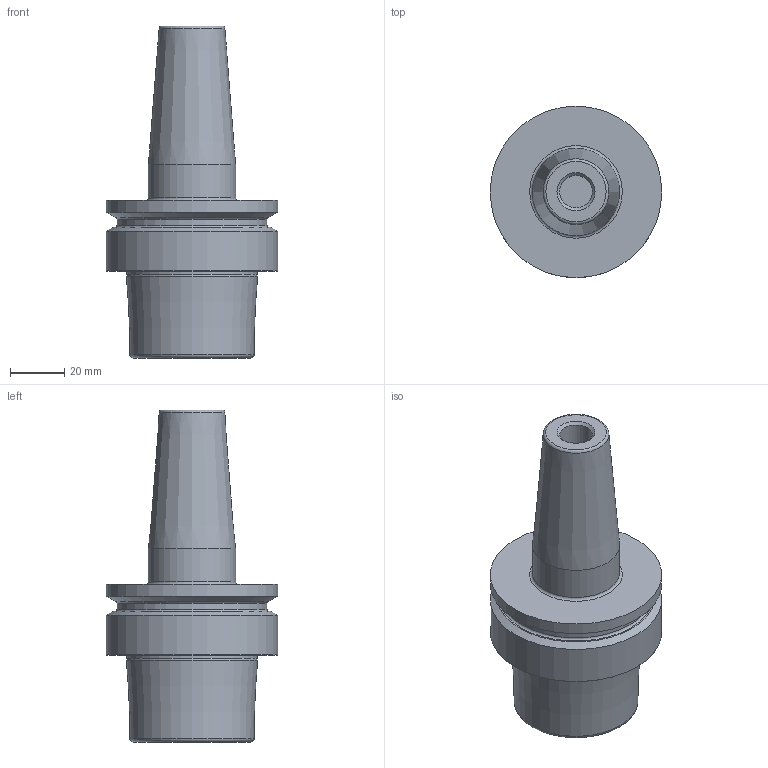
import cadquery as cq
import math


shank_length = 31.9
shank_top_radius = 24.1
shank_end_radius = 22.8
shank_end_rounding = 1.3
relief_radius = 23.9
relief_height = 1.2
relief_taper_height = 0.7

flange_radius = 31.5
flange_height = 26.0
flange_chamfer = 0.15
groove_floor_radius = 27.5
groove_lower_edge = 14.6
groove_upper_edge = 21.7
groove_wall_angle = 30.0
groove_upper_rounding = 1.0
groove_lower_rounding = 0.8
groove_ledge_height = 16.1

neck_radius = 16.0
neck_root_fillet = 1.0
nose_radius = 12.0
nose_height = 90.0
nose_rounding = 1.0
neck_taper_angle = 4.5

bore_radius = 6.0
bore_depth = 47.0
bore_chamfer = 1.0


def revolve_profile(profile):
    """Turn a half outline (X = radius, Y = height) into a solid about Z."""
    return profile.close().revolve(360, (0, 0, 0), (0, 1, 0))


def make_shank():
    """Shank whose taper bows inward until it runs parallel to the axis at the lower end."""
    taper_top = -relief_height - relief_taper_height
    taper_end = -shank_length + shank_end_rounding
    profile = (
        cq.Workplane("XZ")
        .lineTo(relief_radius, 0)
        .lineTo(relief_radius, -relief_height)
        .lineTo(shank_top_radius, taper_top)
        .lineTo(0, taper_top)
    )
    collar = revolve_profile(profile)

    end_flat_radius = shank_end_radius - shank_end_rounding
    profile = (
        cq.Workplane("XZ")
        .moveTo(0, -shank_length)
        .lineTo(end_flat_radius, -shank_length)
        .radiusArc((shank_end_radius, taper_end), -shank_end_rounding)
        .tangentArcPoint((shank_top_radius, taper_top), relative=False)
        .lineTo(0, taper_top)
    )
    return collar.union(revolve_profile(profile))


def make_flange():
    """Plain disc with a chamfer around its contact face."""
    disc = cq.Workplane("XY").circle(flange_radius).extrude(flange_height)
    return disc.faces("<Z").edges().chamfer(flange_chamfer)


def make_gripper_groove():
    """Ring-shaped cutter: sloping walls, a flat ledge above the lower wall, rounded floor corners."""
    wall_angle = math.radians(groove_wall_angle)
    ledge_radius = flange_radius - (groove_ledge_height - groove_lower_edge) / math.tan(wall_angle)
    upper_corner = groove_upper_edge - (flange_radius - groove_floor_radius) * math.tan(wall_angle)

    upper_setback = groove_upper_rounding * math.tan((math.pi / 2 - wall_angle) / 2)
    upper_wall_start = (
        groove_floor_radius + upper_setback * math.cos(wall_angle),
        upper_corner + upper_setback * math.sin(wall_angle),
    )
    profile = (
        cq.Workplane("XZ")
        .moveTo(flange_radius, groove_lower_edge)
        .lineTo(ledge_radius, groove_ledge_height)
        .lineTo(groove_floor_radius + groove_lower_rounding, groove_ledge_height)
        .radiusArc(
            (groove_floor_radius, groove_ledge_height + groove_lower_rounding),
            groove_lower_rounding,
        )
        .lineTo(groove_floor_radius, upper_corner - upper_setback)
        .radiusArc(upper_wall_start, groove_upper_rounding)
        .lineTo(flange_radius, groove_upper_edge)
    )
    return revolve_profile(profile)


def make_neck():
    """Cylinder with a flared root, then a cone up to the rounded nose."""
    taper_height = (neck_radius - nose_radius) / math.tan(math.radians(neck_taper_angle))
    root_top = flange_height + neck_root_fillet
    profile = (
        cq.Workplane("XZ")
        .moveTo(0, flange_height)
        .lineTo(neck_radius + neck_root_fillet, flange_height)
        .radiusArc((neck_radius, root_top), neck_root_fillet)
        .lineTo(neck_radius, nose_height - taper_height)
        .lineTo(nose_radius, nose_height)
        .lineTo(0, nose_height)
    )
    return revolve_profile(profile).faces(">Z").edges().fillet(nose_rounding)


def make_bore():
    """Blind cylindrical cutter with a flared mouth."""
    profile = (
        cq.Workplane("XZ")
        .moveTo(0, nose_height - bore_depth)
        .lineTo(bore_radius, nose_height - bore_depth)
        .lineTo(bore_radius, nose_height - bore_chamfer)
        .lineTo(bore_radius + bore_chamfer, nose_height)
        .lineTo(0, nose_height)
    )
    return revolve_profile(profile)


result = (
    make_flange()
    .cut(make_gripper_groove())
    .union(make_shank())
    .union(make_neck())
    .cut(make_bore())
)